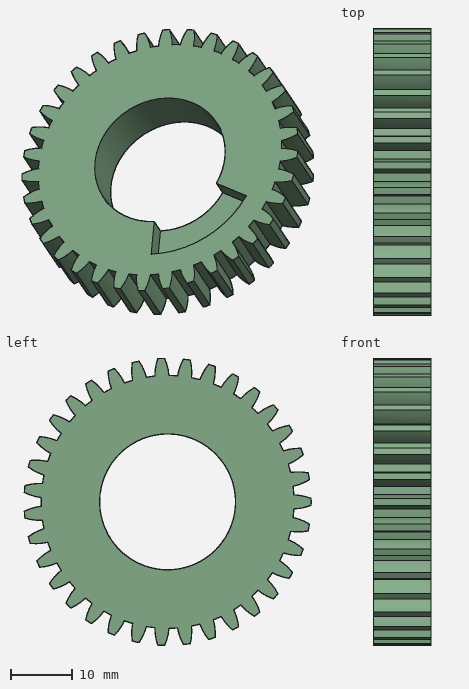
import cadquery as cq
import math

TOOTH_COUNT = 35
MODULE = 1.27
TIP_RADIUS = (TOOTH_COUNT + 2) * MODULE / 2
PITCH_RADIUS = TIP_RADIUS - MODULE
ROOT_RADIUS = 20.7
ROOT_HALF_WIDTH = 1.17
PITCH_HALF_WIDTH = 0.97
TIP_HALF_WIDTH = 0.574
FIRST_TOOTH_ANGLE = 180.0

FACE_WIDTH = 9.45
BORE_RADIUS = 11.1

POCKET_DEPTH = 3.7
POCKET_OUTER_RADIUS = 17.0
POCKET_START_ANGLE = -95.0
POCKET_END_ANGLE = -30.0


def polar(radius, angle):
    """Point in the YZ plane, with the angle measured from +Y towards +Z."""
    radians = math.radians(angle)
    return radius * math.cos(radians), radius * math.sin(radians)


def half_angle(radius, half_width):
    """Angle from a tooth's centre line to its flank at the given radius."""
    return math.degrees(math.asin(half_width / radius))


def gear_blank():
    """Toothed disc: each tooth has two arc flanks, a tip arc and a root arc after it."""
    tooth_pitch = 360 / TOOTH_COUNT
    root_angle = half_angle(ROOT_RADIUS, ROOT_HALF_WIDTH)
    pitch_angle = half_angle(PITCH_RADIUS, PITCH_HALF_WIDTH)
    tip_angle = half_angle(TIP_RADIUS, TIP_HALF_WIDTH)

    outline = cq.Workplane("YZ").moveTo(*polar(ROOT_RADIUS, FIRST_TOOTH_ANGLE - root_angle))
    for tooth in range(TOOTH_COUNT):
        centre = FIRST_TOOTH_ANGLE + tooth * tooth_pitch
        next_centre = centre + tooth_pitch
        outline = (
            outline
            .threePointArc(polar(PITCH_RADIUS, centre - pitch_angle), polar(TIP_RADIUS, centre - tip_angle))
            .threePointArc(polar(TIP_RADIUS, centre), polar(TIP_RADIUS, centre + tip_angle))
            .threePointArc(polar(PITCH_RADIUS, centre + pitch_angle), polar(ROOT_RADIUS, centre + root_angle))
            .threePointArc(
                polar(ROOT_RADIUS, centre + tooth_pitch / 2),
                polar(ROOT_RADIUS, next_centre - root_angle),
            )
        )
    return outline.close().extrude(FACE_WIDTH)


def bore():
    return cq.Workplane("YZ").circle(BORE_RADIUS).extrude(FACE_WIDTH)


def sector_pocket():
    """Sector with radial side walls; its inner part lies within the bore."""
    middle_angle = (POCKET_START_ANGLE + POCKET_END_ANGLE) / 2
    return (
        cq.Workplane("YZ", origin=(FACE_WIDTH - POCKET_DEPTH, 0, 0))
        .lineTo(*polar(POCKET_OUTER_RADIUS, POCKET_START_ANGLE))
        .threePointArc(
            polar(POCKET_OUTER_RADIUS, middle_angle),
            polar(POCKET_OUTER_RADIUS, POCKET_END_ANGLE),
        )
        .close()
        .extrude(POCKET_DEPTH)
    )


result = gear_blank().cut(bore()).cut(sector_pocket())